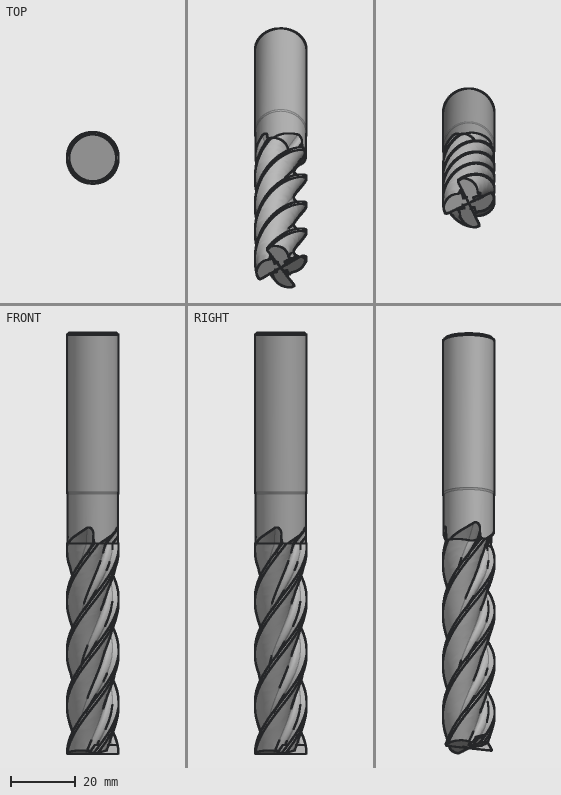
import cadquery as cq
import math


TOTAL_LENGTH = 130.0
DIAMETER = 16.0
RADIUS = DIAMETER / 2
HEAD_LENGTH = 65.0

NECK_RADIUS = 7.8
NECK_TOP = 80.2
SHOULDER_HEIGHT = 0.6
SHANK_CHAMFER = 0.8

FLUTE_COUNT = 4
FLUTE_PITCH = 360 / FLUTE_COUNT
HELIX_ANGLE = 38.0
LEAD = math.pi * DIAMETER / math.tan(math.radians(HELIX_ANGLE))
HEAD_TWIST = 360 * HEAD_LENGTH / LEAD
FIRST_EDGE_ANGLE = -90.0

LAND_ANGLE = 9.0
BACK_RADIUS = 6.5
BACK_ANGLE = 33.0
HEEL_RADIUS = 4.3
HEEL_ANGLE = 60.0
FLUTE_BOTTOM_RADIUS = 4.3
FLUTE_BOTTOM_ANGLE = 80.0
RAKE_RADIUS = 6.1
RAKE_ANGLE = 87.0

RUNOUT_HEIGHT = 7.8
RUNOUT_ANGLE = 38.0
RUNOUT_TURN = -3.0

END_RELIEF_ANGLE = 15.0
CORNER_CHAMFER = 0.4
GASH_HEIGHT = 2.9
GASH_WIDTH = 1.3
GASH_TOP_WIDTH = 1.5
GASH_INNER_RADIUS = 2.0

CLEARANCE = 1.3
TOOL_REACH = RADIUS + CLEARANCE


def polar(radius, angle):
    """Point at a radius and an angle in degrees."""
    return (radius * math.cos(math.radians(angle)), radius * math.sin(math.radians(angle)))


def around_axis(solid):
    """Copies of a solid made for a cutting edge on +X, one for each tooth."""
    return [
        solid.rotate((0, 0, 0), (0, 0, 1), FIRST_EDGE_ANGLE + tooth * FLUTE_PITCH)
        for tooth in range(FLUTE_COUNT)
    ]


def trace_flute(path, edge):
    """Extend a path over the tooth back and the flute, from the land to the next cutting edge."""
    return (
        path.threePointArc(
            polar(BACK_RADIUS, edge + BACK_ANGLE), polar(HEEL_RADIUS, edge + HEEL_ANGLE)
        )
        .threePointArc(
            polar(FLUTE_BOTTOM_RADIUS, edge + FLUTE_BOTTOM_ANGLE),
            polar(RAKE_RADIUS, edge + RAKE_ANGLE),
        )
        .lineTo(*polar(RADIUS, edge + FLUTE_PITCH))
    )


def tooth_section():
    """Closed cross-section of the head at its cutting end."""
    path = cq.Workplane("XY").moveTo(*polar(RADIUS, FIRST_EDGE_ANGLE))
    for tooth in range(FLUTE_COUNT):
        edge = FIRST_EDGE_ANGLE + tooth * FLUTE_PITCH
        path = path.threePointArc(
            polar(RADIUS, edge + LAND_ANGLE / 2), polar(RADIUS, edge + LAND_ANGLE)
        )
        path = trace_flute(path, edge)
    return path.close()


def wedge(profile, inner, outer):
    """Prism along X of a profile given as (Y, Z) points."""
    return cq.Workplane("YZ").workplane(offset=inner).polyline(profile).close().extrude(outer - inner)


def end_relief():
    """Wedge under one tooth: its end face climbs backwards from the cutting edge."""
    rise = TOOL_REACH * math.tan(math.radians(END_RELIEF_ANGLE))
    profile = [(0, 0), (0, -CLEARANCE), (TOOL_REACH, -CLEARANCE), (TOOL_REACH, rise)]
    return wedge(profile, 0, TOOL_REACH)


def end_gash():
    """Flat-topped notch in front of one cutting edge, its wall leaning back with the helix."""
    lean = GASH_HEIGHT * math.tan(math.radians(HELIX_ANGLE))
    far_corner = lean - GASH_TOP_WIDTH
    profile = [(0, 0), (lean, GASH_HEIGHT), (far_corner, GASH_HEIGHT), (-GASH_WIDTH, 0)]
    return wedge(profile, GASH_INNER_RADIUS, TOOL_REACH)


def corner_chamfer():
    """Ring that bevels the outer corners of the teeth."""
    return (
        cq.Workplane("XZ")
        .moveTo(RADIUS - CORNER_CHAMFER, 0)
        .lineTo(TOOL_REACH, 0)
        .lineTo(TOOL_REACH, CORNER_CHAMFER)
        .lineTo(RADIUS, CORNER_CHAMFER)
        .close()
        .revolve(360, (0, 0, 0), (0, 1, 0))
    )


def make_cutting_head():
    head = tooth_section().twistExtrude(HEAD_LENGTH, HEAD_TWIST)
    for tool in around_axis(end_relief()) + around_axis(end_gash()):
        head = head.cut(tool)
    return head.cut(corner_chamfer())


def flute_runout():
    """One flute carried on straight into the neck, leaving it nearly along the cutting-edge radius."""
    edge = -FLUTE_PITCH
    outline = cq.Workplane("XY").moveTo(*polar(RADIUS, edge + LAND_ANGLE))
    outline = (
        trace_flute(outline, edge)
        .lineTo(TOOL_REACH, 0)
        .lineTo(TOOL_REACH, -TOOL_REACH)
        .lineTo(*polar(TOOL_REACH, edge + LAND_ANGLE))
        .close()
    )
    outward = RUNOUT_HEIGHT * math.tan(math.radians(RUNOUT_ANGLE))
    slope = cq.Vector(*polar(outward, RUNOUT_TURN), RUNOUT_HEIGHT)
    runout = cq.Workplane(cq.Solid.extrudeLinear(outline.val(), [], slope))
    return runout.rotate((0, 0, 0), (0, 0, 1), HEAD_TWIST).translate((0, 0, HEAD_LENGTH))


def make_holder():
    holder = (
        cq.Workplane("XZ")
        .moveTo(0, HEAD_LENGTH)
        .lineTo(NECK_RADIUS, HEAD_LENGTH)
        .lineTo(NECK_RADIUS, NECK_TOP)
        .lineTo(RADIUS, NECK_TOP + SHOULDER_HEIGHT)
        .lineTo(RADIUS, TOTAL_LENGTH - SHANK_CHAMFER)
        .lineTo(RADIUS - SHANK_CHAMFER, TOTAL_LENGTH)
        .lineTo(0, TOTAL_LENGTH)
        .close()
        .revolve(360, (0, 0, 0), (0, 1, 0))
    )
    for tool in around_axis(flute_runout()):
        holder = holder.cut(tool)
    return holder


cutting_head = make_cutting_head()
holder = make_holder()
result = cq.Compound.makeCompound([cutting_head.val(), holder.val()])